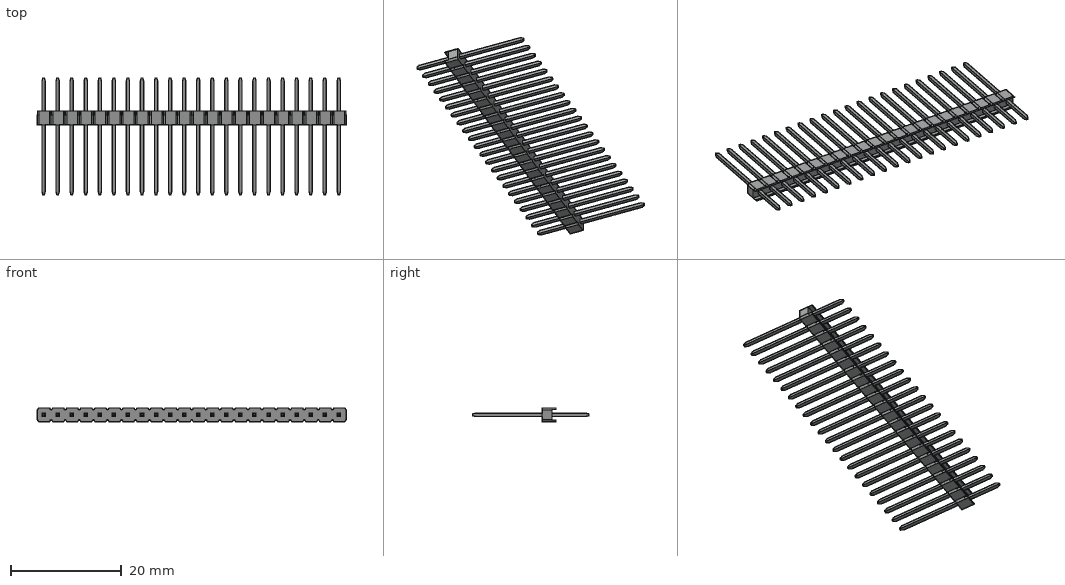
import cadquery as cq

pin_count = 22
row_length = 55.9
pitch = row_length / pin_count

body_height = 2.5
body_depth = pitch
notch_depth = 0.4
notch_half_width = 0.31

channel_depth = 0.7
flange_thickness = 0.35

pin_width = pitch / 4
pin_length = 21.1
pin_front_length = 12.65
tip_length = 0.55
tip_width = 0.31
pin_offset = -0.1


def cell_center(index):
    return (index - (pin_count - 1) / 2) * pitch


def make_cell(index):
    """One octagonal cell; its chamfers form V-notches with its neighbours."""
    left = cell_center(index) - pitch / 2
    right = left + pitch
    top = body_height / 2
    shoulder = top - notch_depth
    outline = [
        (left, -shoulder),
        (left + notch_half_width, -top),
        (right - notch_half_width, -top),
        (right, -shoulder),
        (right, shoulder),
        (right - notch_half_width, top),
        (left + notch_half_width, top),
        (left, shoulder),
    ]
    return cq.Workplane("XZ").polyline(outline).close().extrude(-body_depth)


def make_insulator():
    """Row of joined cells with the channel cut along the back."""
    body = make_cell(0)
    for index in range(1, pin_count):
        body = body.union(make_cell(index))
    channel_height = body_height - 2 * flange_thickness
    channel_middle = body_depth - channel_depth / 2
    channel = cq.Workplane("XY").box(row_length, channel_depth, channel_height)
    return body.cut(channel.translate((0, channel_middle, 0)))


def make_pin():
    """Square pin on X = 0 with a tapered tip at each end."""
    pin_middle = pin_length / 2 - pin_front_length
    shank_length = pin_length - 2 * tip_length
    shank = cq.Workplane("XY").box(pin_width, shank_length, pin_width).translate((0, pin_middle, 0))
    pin = shank
    for end_face in ("<Y", ">Y"):
        tip = (
            shank.faces(end_face)
            .workplane(centerOption="CenterOfMass")
            .rect(pin_width, pin_width)
            .workplane(offset=tip_length)
            .rect(tip_width, tip_width)
            .loft(combine=False)
        )
        pin = pin.union(tip)
    return pin


result = make_insulator()
pin = make_pin()
for index in range(pin_count):
    result = result.union(pin.translate((cell_center(index) + pin_offset, 0, 0)))